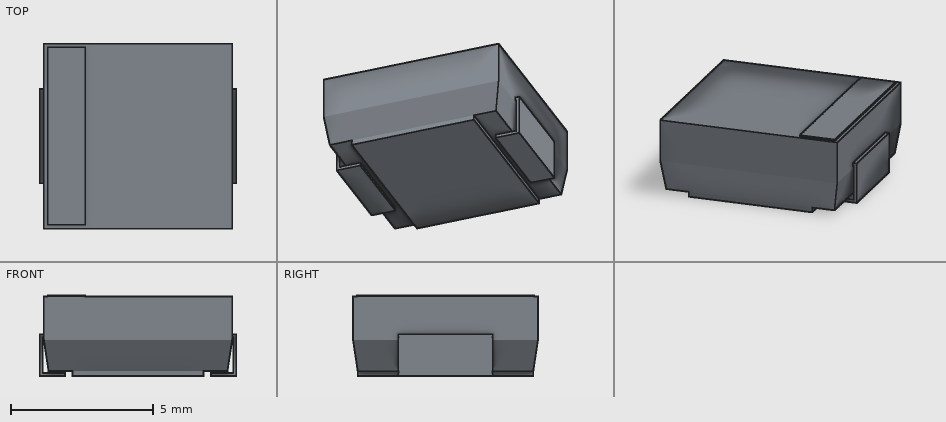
import cadquery as cq

overall_length = 6.91
overall_width = 6.5
overall_height = 2.85

housing_length = 6.62
mark_thickness = 0.05
housing_top = overall_height - mark_thickness
parting_height = 1.28
base_height = 0.18
taper_inset = 0.165
lower_length = housing_length - 2 * taper_inset
lower_width = overall_width - 2 * taper_inset
base_length = 4.615

mark_length = 1.31
mark_margin = 0.14
mark_width = overall_width - 2 * mark_margin

terminal_width = 3.32
terminal_height = 1.48
terminal_thickness = 0.12
terminal_foot_length = 0.9
terminal_reach = (overall_length - housing_length) / 2


def make_housing():
    """Upper block, tapered lower block and base, all one moulded solid."""
    upper = (
        cq.Workplane("XY", origin=(0, 0, parting_height))
        .rect(housing_length, overall_width)
        .extrude(housing_top - parting_height)
    )
    lower = (
        cq.Workplane("XY", origin=(0, 0, base_height))
        .rect(lower_length, lower_width)
        .workplane(offset=parting_height - base_height)
        .rect(housing_length, overall_width)
        .loft(ruled=True)
    )
    base = cq.Workplane("XY").rect(base_length, lower_width).extrude(base_height)
    return upper.union(lower).union(base)


def make_polarity_mark():
    """Thin strip lying on the housing's top face."""
    center_x = -housing_length / 2 + mark_margin + mark_length / 2
    return (
        cq.Workplane("XY", origin=(center_x, 0, housing_top))
        .rect(mark_length, mark_width)
        .extrude(mark_thickness)
    )


def make_terminal(side):
    """C-shaped terminal on the -X (side = -1) or +X (side = 1) end, touching the housing's end face."""
    outer_x = side * overall_length / 2
    wall_x = outer_x - side * terminal_thickness
    contact_x = outer_x - side * terminal_reach
    toe_x = outer_x - side * terminal_foot_length
    lip_bottom = terminal_height - terminal_thickness
    return (
        cq.Workplane("XZ")
        .moveTo(toe_x, 0)
        .lineTo(outer_x, 0)
        .lineTo(outer_x, terminal_height)
        .lineTo(contact_x, terminal_height)
        .lineTo(contact_x, lip_bottom)
        .lineTo(wall_x, lip_bottom)
        .lineTo(wall_x, terminal_thickness)
        .lineTo(toe_x, terminal_thickness)
        .close()
        .extrude(terminal_width / 2, both=True)
    )


housing = make_housing()
polarity_mark = make_polarity_mark()
terminals = [make_terminal(side).val() for side in (-1, 1)]

result = cq.Compound.makeCompound([housing.val(), polarity_mark.val(), *terminals])